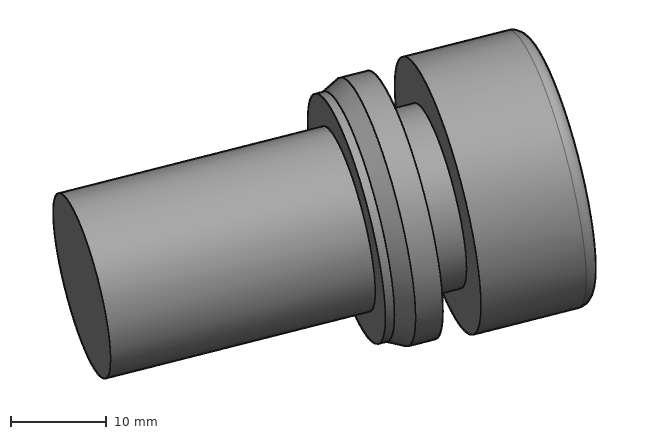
import cadquery as cq


shank_diameter = 20.0
head_diameter = 30.0
collar_diameter = 29.0
collar_lip_diameter = 27.0

overall_length = 52.0
head_length = 13.0
neck_length = 4.0
collar_rim_length = 3.0
collar_taper_length = 2.0
collar_lip_length = 1.0

head_edge_radius = 1.5

head_start = overall_length - head_length
collar_end = head_start - neck_length
taper_end = collar_end - collar_rim_length
taper_start = taper_end - collar_taper_length
collar_start = taper_start - collar_lip_length


def cylinder_along_y(diameter, start, end):
    """Solid cylinder about the Y axis between two axial positions."""
    base = cq.Workplane("XZ", origin=(0, start, 0))
    return base.circle(diameter / 2).extrude(start - end)


def make_head():
    """Cylindrical head with its outer end edge rounded."""
    head = cylinder_along_y(head_diameter, head_start, overall_length)
    return head.faces(">Y").edges().fillet(head_edge_radius)


def make_collar():
    """Collar with a full-size rim that tapers down to a short lip."""
    rim_radius = collar_diameter / 2
    lip_radius = collar_lip_diameter / 2
    half_profile = [
        (0, collar_start),
        (lip_radius, collar_start),
        (lip_radius, taper_start),
        (rim_radius, taper_end),
        (rim_radius, collar_end),
        (0, collar_end),
    ]
    profile = cq.Workplane("XY").polyline(half_profile).close()
    return profile.revolve(360, (0, 0, 0), (0, 1, 0))


shank = cylinder_along_y(shank_diameter, 0, head_start)

result = shank.union(make_collar()).union(make_head())